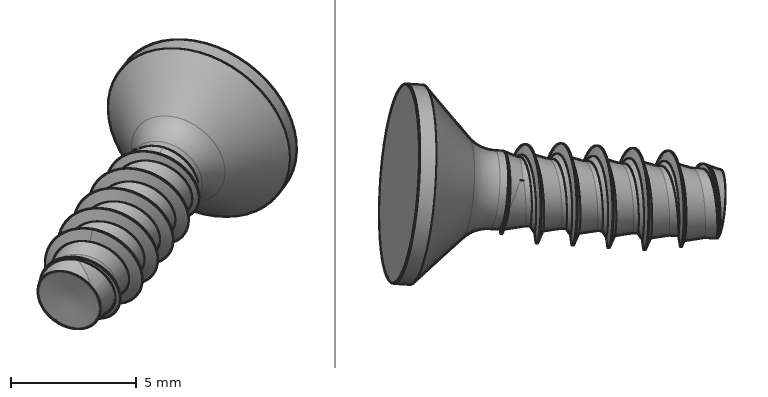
import cadquery as cq
import math


screw_length = 13.0
head_radius = 4.0

rim_height = 0.7
rim_edge_chamfer = 0.04
neck_radius = 1.58
neck_fillet_radius = 1.6
countersink_angle = math.radians(45)
neck_end_depth = 4.11
neck_taper_end_depth = 4.74

core_radius = 1.38
tip_dimple_radius = 1.31
tip_dimple_depth = 0.15
tip_taper_start_depth = 12.25
tip_taper_start_radius = 1.58

pitch = 1.46
first_crest_depth = 3.84
crest_radius = 2.02
crest_width = 0.04
samples_per_turn = 16
root_buried_radius = 1.1
thread_buried_radius = 0.5
joining_tolerance = 1e-4

root_step_offset = 0.1
root_peak_radius = 1.56
root_taper_width = 0.84
root_overrun = 0.1

head_flank_width = 0.13
head_flank_height = 0.42
head_foot_width = 0.31
tip_flank_width = 0.22
tip_flank_height = 0.50

root_start_turn = 0
lead_in_start_turn = -0.12
lead_in_end_turn = 0.25
full_start_turn = 1.25
full_end_turn = 4.75
thread_end_turn = 6.4
lead_in_start_radius = 1.64
lead_in_end_radius = 1.73
thread_end_radius = 1.35


def revolve_about_axis(profile):
    """Turn a profile of (Y, radius) points about the screw axis, with the seam at +Z."""
    return profile.close().revolve(360, (0, 0, 0), (1, 0, 0))


def make_body():
    """Head, neck and core as one turned shape."""
    fillet_drop = neck_fillet_radius * (1 - math.cos(countersink_angle))
    fillet_start_radius = neck_radius + fillet_drop
    fillet_start_depth = rim_height + (head_radius - fillet_start_radius) / math.tan(countersink_angle)
    fillet_end_depth = fillet_start_depth + neck_fillet_radius * math.sin(countersink_angle)
    half_angle = countersink_angle / 2
    fillet_mid_radius = neck_radius + neck_fillet_radius * (1 - math.cos(half_angle))
    fillet_mid_depth = fillet_end_depth - neck_fillet_radius * math.sin(half_angle)
    profile = (
        cq.Workplane("YZ")
        .lineTo(0, head_radius - rim_edge_chamfer)
        .lineTo(-rim_edge_chamfer, head_radius)
        .lineTo(-rim_height, head_radius)
        .lineTo(-fillet_start_depth, fillet_start_radius)
        .threePointArc((-fillet_mid_depth, fillet_mid_radius), (-fillet_end_depth, neck_radius))
        .lineTo(-neck_end_depth, neck_radius)
        .lineTo(-neck_taper_end_depth, core_radius)
        .lineTo(-screw_length, core_radius)
        .lineTo(-screw_length, 0)
    )
    return revolve_about_axis(profile)


def make_tip_dimple():
    """Shallow cone sunk into the tip face."""
    profile = (
        cq.Workplane("YZ")
        .moveTo(-screw_length, 0)
        .lineTo(-screw_length, tip_dimple_radius)
        .lineTo(tip_dimple_depth - screw_length, 0)
    )
    return revolve_about_axis(profile)


def helix_point(turn, radius, depth):
    """Point of a right-handed helix that passes -X, -Z, +X, +Z on its way to the tip."""
    angle = 2 * math.pi * turn
    return cq.Vector(-radius * math.cos(angle), -depth, -radius * math.sin(angle))


def helix_depth(turn):
    return first_crest_depth + pitch * turn


def blend(start, end, share):
    return start + share * (end - start)


def ridge_rail(start, end, corner):
    """Spline along which one corner of the ridge section travels between two stages."""
    start_turn, start_depth, start_corners = start
    end_turn, end_depth, end_corners = end
    start_offset, start_radius = start_corners[corner]
    end_offset, end_radius = end_corners[corner]
    steps = math.ceil((end_turn - start_turn) * samples_per_turn)
    points = []
    for step in range(steps + 1):
        share = step / steps
        turn = blend(start_turn, end_turn, share)
        radius = blend(start_radius, end_radius, share)
        depth = blend(start_depth + start_offset, end_depth + end_offset, share)
        points.append(helix_point(turn, radius, depth))
    return cq.Edge.makeSpline(points)


def ridge_cap(stage):
    """Flat end face of a ridge."""
    turn, depth, corners = stage
    points = [helix_point(turn, radius, depth + offset) for offset, radius in corners]
    return cq.Face.makeFromWires(cq.Wire.makePolygon(points, close=True))


def helical_ridge(stages):
    """Solid ridge through the stages, each a (turn, crest depth, corners) with corners (offset, radius)."""
    faces = [ridge_cap(stages[0]), ridge_cap(stages[-1])]
    for start, end in zip(stages, stages[1:]):
        rails = [ridge_rail(start, end, corner) for corner in range(len(start[-1]))]
        for rail, next_rail in zip(rails, rails[1:] + rails[:1]):
            faces.append(cq.Face.makeRuledSurface(rail, next_rail))
    return cq.Workplane(cq.Solid.makeSolid(cq.Shell.makeShell(faces)).fix())


def make_root_ridge():
    """Root that steps up under each crest and tapers down to the core towards the tip."""
    taper_slope = (root_peak_radius - core_radius) / root_taper_width
    end_offset = root_step_offset + root_taper_width + root_overrun
    end_radius = core_radius - taper_slope * root_overrun
    corners = [
        (root_step_offset, root_buried_radius),
        (root_step_offset, root_peak_radius),
        (end_offset, end_radius),
        (end_offset, root_buried_radius),
    ]
    stages = [(turn, helix_depth(turn), corners) for turn in (root_start_turn, thread_end_turn)]
    return helical_ridge(stages)


def thread_corners(radius):
    """Thread section whose crest lies at the given radius; a low crest sinks into the root."""
    half_crest = crest_width / 2
    foot_radius = core_radius - (crest_radius - radius)
    return [
        (-head_foot_width, thread_buried_radius),
        (-head_foot_width, foot_radius),
        (-head_flank_width, radius - head_flank_height),
        (-half_crest, radius),
        (half_crest, radius),
        (tip_flank_width, radius - tip_flank_height),
        (tip_flank_width, thread_buried_radius),
    ]


def make_thread():
    """Thread that rises out of the neck, runs at full height and fades out at the tip."""
    stages = [
        (lead_in_start_turn, neck_end_depth, thread_corners(lead_in_start_radius)),
        (lead_in_end_turn, helix_depth(lead_in_end_turn), thread_corners(lead_in_end_radius)),
        (full_start_turn, helix_depth(full_start_turn), thread_corners(crest_radius)),
        (full_end_turn, helix_depth(full_end_turn), thread_corners(crest_radius)),
        (thread_end_turn, helix_depth(thread_end_turn), thread_corners(thread_end_radius)),
    ]
    return helical_ridge(stages)


def make_thread_zone():
    """Space from the neck end to the tip that bounds the ridges, with a tapered tip."""
    profile = (
        cq.Workplane("YZ")
        .moveTo(-neck_end_depth, 0)
        .lineTo(-neck_end_depth, head_radius)
        .lineTo(-tip_taper_start_depth, head_radius)
        .lineTo(-tip_taper_start_depth, tip_taper_start_radius)
        .lineTo(-screw_length, core_radius)
        .lineTo(-screw_length, 0)
    )
    return revolve_about_axis(profile)


ridges = make_root_ridge().union(make_thread(), tol=joining_tolerance)
ridges = ridges.intersect(make_thread_zone())
result = make_body().union(ridges, tol=joining_tolerance)
result = result.cut(make_tip_dimple())